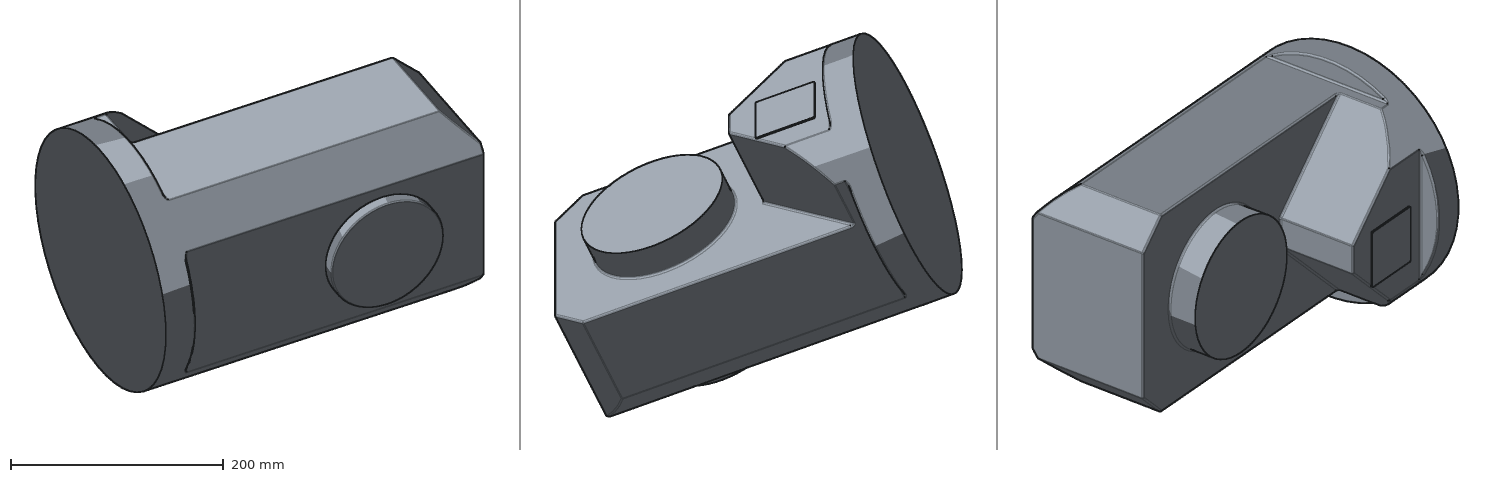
import cadquery as cq

LENGTH = 352.0
DIAMETER = 260.0
FLANGE_THICKNESS = 32.0

HOUSING_WIDTH = 217.0
END_CHAMFER = 28.5
SLAB_LEFT_X = -22.5
EDGE_RADIUS = 2.0

NOSE_TIP_Y = 137.3
NOSE_TIP_HEIGHT = 31.0

LEFT_BOSS_DIAMETER = 144.3
LEFT_BOSS_Y = 239.0
LEFT_BOSS_END_X = -53.0
RIGHT_BOSS_DIAMETER = 120.0
RIGHT_BOSS_Y = 242.0
RIGHT_BOSS_END_X = 119.7
RIGHT_BOSS_RIM_RADIUS = 1.5

PAD_SIZE = 60.5
PAD_HEIGHT = 1.5
PAD_Y = 78.5
PAD_Z = -13.5

HALF_WIDTH = HOUSING_WIDTH / 2
OVERLAP = 3.5


def round_bar(length):
    """Full-diameter cylinder starting at the base plane Y = 0."""
    return cq.Workplane("XZ").circle(DIAMETER / 2).extrude(-length)


def side_prism(outline, left_x, right_x):
    """Prism along X between two X positions from a closed (Y, Z) outline."""
    return cq.Workplane("YZ", origin=(left_x, 0, 0)).polyline(outline).close().extrude(right_x - left_x)


def mirrored_outline(upper_points):
    """Close an upper half outline with its mirror image below Z = 0."""
    return upper_points + [(y, -z) for y, z in reversed(upper_points)]


def housing():
    """Flat-sided housing: a tall chamfered slab and the short tapered nose."""
    slab_outline = mirrored_outline([
        (0, HALF_WIDTH),
        (LENGTH - END_CHAMFER, HALF_WIDTH),
        (LENGTH, HALF_WIDTH - END_CHAMFER),
    ])
    nose_run = HALF_WIDTH - NOSE_TIP_HEIGHT / 2
    nose_outline = mirrored_outline([
        (0, HALF_WIDTH),
        (NOSE_TIP_Y - nose_run, HALF_WIDTH),
        (NOSE_TIP_Y, NOSE_TIP_HEIGHT / 2),
    ])
    slab = side_prism(slab_outline, SLAB_LEFT_X, HALF_WIDTH)
    nose = side_prism(nose_outline, -HALF_WIDTH, SLAB_LEFT_X)
    return slab.union(nose).intersect(round_bar(LENGTH))


def rounded_body():
    """Flange and housing with every edge rounded except the base rim."""
    body = round_bar(FLANGE_THICKNESS).union(housing()).clean()
    base_zone = cq.selectors.BoxSelector(
        (-DIAMETER, -OVERLAP, -DIAMETER), (DIAMETER, FLANGE_THICKNESS - EDGE_RADIUS, DIAMETER))
    return body.edges(cq.selectors.InverseSelector(base_zone)).fillet(EDGE_RADIUS)


def round_boss(diameter, center_y, start_x, end_x):
    """Round boss along X, centred on Z = 0."""
    return cq.Workplane("YZ", origin=(start_x, center_y, 0)).circle(diameter / 2).extrude(end_x - start_x)


def add_left_boss(body):
    """Add the large boss with a small round at its root on the slab face."""
    boss = round_boss(LEFT_BOSS_DIAMETER, LEFT_BOSS_Y, SLAB_LEFT_X + OVERLAP, LEFT_BOSS_END_X)
    root_edge = cq.selectors.NearestToPointSelector((SLAB_LEFT_X, LEFT_BOSS_Y, 0))
    return body.union(boss).edges(root_edge).fillet(EDGE_RADIUS)


def right_boss():
    """Shallow boss on the right face with a rounded rim."""
    boss = round_boss(RIGHT_BOSS_DIAMETER, RIGHT_BOSS_Y, HALF_WIDTH - OVERLAP, RIGHT_BOSS_END_X)
    return boss.edges(">X").fillet(RIGHT_BOSS_RIM_RADIUS)


def pad():
    """Thin square pad with rounded corners on the nose face."""
    square = cq.Workplane("YZ", origin=(-HALF_WIDTH + OVERLAP, PAD_Y, PAD_Z)).rect(PAD_SIZE, PAD_SIZE)
    return square.extrude(-PAD_HEIGHT - OVERLAP).edges("|X").fillet(EDGE_RADIUS)


result = add_left_boss(rounded_body()).union(right_boss()).union(pad())